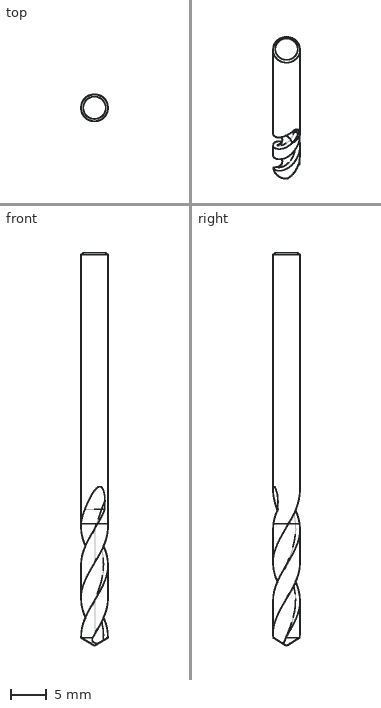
import cadquery as cq
import math


LENGTH = 55.0
DIAMETER = 3.8
RADIUS = DIAMETER / 2
JOINT_Z = 17.1

CHAMFER_WIDTH = 0.35
CHAMFER_HEIGHT = 0.3
POINT_ANGLE = 118.0
POINT_HEIGHT = RADIUS / math.tan(math.radians(POINT_ANGLE / 2))

FLUTE_COUNT = 2
PITCH = 20.0
FLUTE_TOP_Z = 19.1
FLUTE_SPAN = 92.0
WALL_INNER_RADIUS = 1.25
WEB_RADIUS = 0.6
FLUTE_START_ANGLE = 156.0
OUTSIDE_RADIUS = 1.2 * RADIUS

RUNOUT_HEIGHT = 3.65
RUNOUT_SIDE_SHIFT = 1.5
RUNOUT_OUTWARD_SHIFT = 1.2


def polar(radius, degrees):
    angle = math.radians(degrees)
    return radius * math.cos(angle), radius * math.sin(angle)


def drill_blank():
    """Chamfered cylinder with a conical point, as a solid of revolution."""
    return (
        cq.Workplane("YZ")
        .moveTo(0, 0)
        .lineTo(-RADIUS, POINT_HEIGHT)
        .lineTo(-RADIUS, LENGTH - CHAMFER_HEIGHT)
        .lineTo(CHAMFER_WIDTH - RADIUS, LENGTH)
        .lineTo(0, LENGTH)
        .close()
        .revolve(360, (0, 0, 0), (0, 1, 0))
    )


def flute_profile(height, wall_angle):
    """Flute section: radial cutting face, concave floor, open beyond the rim."""
    heel_angle = wall_angle - FLUTE_SPAN
    middle_angle = wall_angle - FLUTE_SPAN / 2
    corner_radius = OUTSIDE_RADIUS / math.cos(math.radians(FLUTE_SPAN / 2))
    return (
        cq.Workplane("XY", origin=(0, 0, height))
        .moveTo(*polar(OUTSIDE_RADIUS, wall_angle))
        .lineTo(*polar(WALL_INNER_RADIUS, wall_angle))
        .threePointArc(polar(WEB_RADIUS, middle_angle), polar(OUTSIDE_RADIUS, heel_angle))
        .lineTo(*polar(corner_radius, middle_angle))
        .close()
    )


def helical_cutter(start_angle):
    twist = 360 * FLUTE_TOP_Z / PITCH
    return flute_profile(0, start_angle).twistExtrude(FLUTE_TOP_Z, twist)


def runout_cutter(start_angle):
    wall_angle = start_angle + 360 * FLUTE_TOP_Z / PITCH
    outward_angle = wall_angle - FLUTE_SPAN / 2
    outward_x, outward_y = polar(RUNOUT_OUTWARD_SHIFT, outward_angle)
    side_x, side_y = polar(RUNOUT_SIDE_SHIFT, outward_angle + 90)
    direction = cq.Vector(outward_x + side_x, outward_y + side_y, RUNOUT_HEIGHT)
    section = flute_profile(FLUTE_TOP_Z, wall_angle).wire().val()
    return cq.Workplane(cq.Solid.extrudeLinear(section, [], direction))


def fluted_drill():
    drill = drill_blank()
    for index in range(FLUTE_COUNT):
        start_angle = FLUTE_START_ANGLE + index * 360 / FLUTE_COUNT
        drill = drill.cut(helical_cutter(start_angle))
        drill = drill.cut(runout_cutter(start_angle))
    return drill


def section_block(bottom, top):
    """Block around the drill between two heights."""
    width = 2 * DIAMETER
    return cq.Workplane("XY", origin=(0, 0, bottom)).box(
        width, width, top - bottom, centered=(True, True, False)
    )


def make_shank(drill):
    return drill.intersect(section_block(JOINT_Z, LENGTH))


def make_cutting_end(drill):
    return drill.intersect(section_block(0, JOINT_Z))


whole_drill = fluted_drill()
shank = make_shank(whole_drill)
cutting_end = make_cutting_end(whole_drill)

result = cq.Compound.makeCompound([*shank.vals(), *cutting_end.vals()])